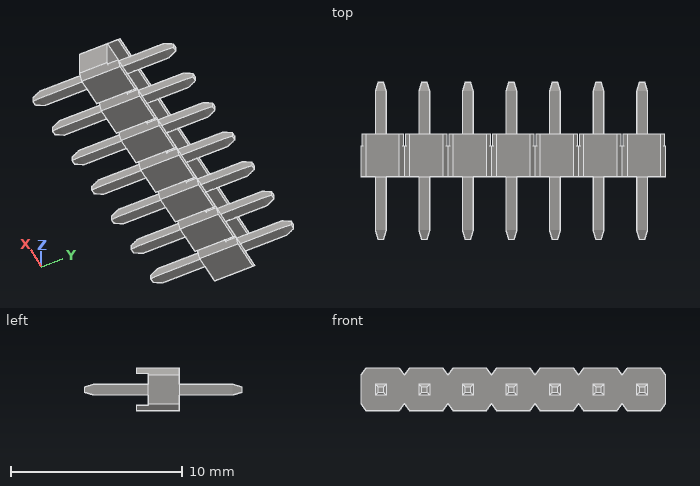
import cadquery as cq

pin_count = 7
housing_length = 17.78
pitch = housing_length / pin_count

housing_height = 2.5
housing_depth = 2.5
chamfer_run = 0.3
chamfer_drop = 0.41

recess_depth = 0.7
lip_thickness = 0.34

pin_width = 0.64
tip_width = 0.32
tip_length = 0.53
pin_length = 9.2
pin_front_reach = 3.66
pin_offset = -0.1
pin_drop = 0.02

pin_front = -pin_length / 2
housing_front = pin_front + pin_front_reach
housing_back = housing_front + housing_depth


def cell_center(index):
    return (index - (pin_count - 1) / 2) * pitch


def make_cell(center_x):
    """One octagonal housing cell; neighbouring cells form the V-notches."""
    half_width = pitch / 2
    half_height = housing_height / 2
    flat_x = half_width - chamfer_run
    side_z = half_height - chamfer_drop
    outline = [
        (-half_width, -side_z),
        (-flat_x, -half_height),
        (flat_x, -half_height),
        (half_width, -side_z),
        (half_width, side_z),
        (flat_x, half_height),
        (-flat_x, half_height),
        (-half_width, side_z),
    ]
    cell = cq.Workplane("XZ").polyline(outline).close().extrude(-housing_depth)
    return cell.translate((center_x, housing_front, 0))


def make_recess():
    """Full-length channel removed from the back face."""
    height = housing_height - 2 * lip_thickness
    channel = cq.Workplane("XY").box(housing_length, recess_depth, height)
    return channel.translate((0, housing_back - recess_depth / 2, 0))


def make_tip():
    """Square taper pointing toward +Y, with its wide end at the origin."""
    return (
        cq.Workplane("XZ")
        .rect(pin_width, pin_width)
        .workplane(offset=-tip_length)
        .rect(tip_width, tip_width)
        .loft(ruled=True)
    )


def make_pin(center_x):
    """Square pin with a tapered tip at each end."""
    shank_length = pin_length - 2 * tip_length
    back_tip = make_tip().translate((0, shank_length / 2, 0))
    front_tip = back_tip.mirror("XZ")
    shank = cq.Workplane("XY").box(pin_width, shank_length, pin_width)
    return shank.union(back_tip).union(front_tip).translate((center_x, 0, -pin_drop))


housing = make_cell(cell_center(0))
for index in range(1, pin_count):
    housing = housing.union(make_cell(cell_center(index)))

result = housing.cut(make_recess())
for index in range(pin_count):
    result = result.union(make_pin(cell_center(index) + pin_offset))